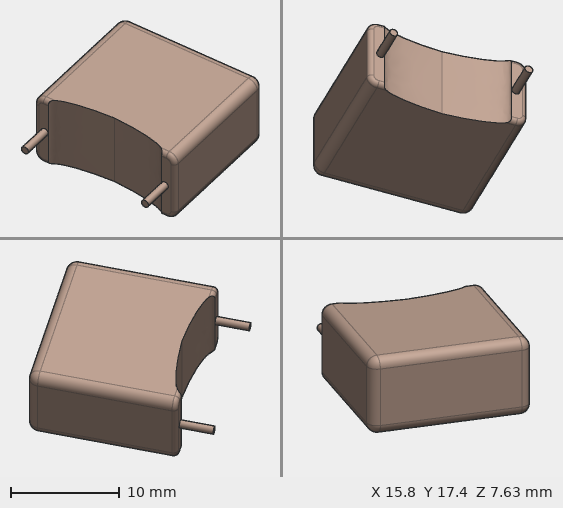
import cadquery as cq

width = 15.75
total_length = 17.45
height = 7.63
lead_length = 3.21
body_length = total_length - lead_length

case_radius = 1.0
front_radius = 0.49

recess_half_width = 6.32
recess_depth = 1.54
apex_pull_x = 2.8
apex_pull_drop = 0.1
rim_pull_y = 0.87

lead_diameter = 0.79
lead_pitch = 13.44


def make_recess():
    """Through-cutter under two mirrored curves that meet at the centre line."""
    rim = (recess_half_width, 0)
    apex = (0, recess_depth)
    apex_control = (apex_pull_x, recess_depth - apex_pull_drop)
    rim_control = (recess_half_width, rim_pull_y)
    half = (
        cq.Workplane("XY")
        .workplane(offset=-height / 2)
        .moveTo(*apex)
        .bezier([apex, apex_control, rim_control, rim])
        .lineTo(0, 0)
        .close()
        .extrude(height)
    )
    return half.union(half.mirror("YZ"))


def make_housing():
    """Rounded case with its lead face at Y = 0 and the recess cut into it."""
    block = cq.Workplane("XY").box(width, body_length, height, centered=(True, False, True))
    block = block.edges("|Y or >Y").fillet(case_radius)
    block = block.faces("<Y").edges().fillet(front_radius)
    return block.cut(make_recess())


def make_lead(x):
    """Round lead standing on the lead face at the given X."""
    return (
        cq.Workplane("XZ")
        .center(x, 0)
        .circle(lead_diameter / 2)
        .extrude(lead_length)
    )


housing = make_housing()
leads = [make_lead(side * lead_pitch / 2) for side in (-1, 1)]

result = cq.Compound.makeCompound([housing.val(), *[lead.val() for lead in leads]])